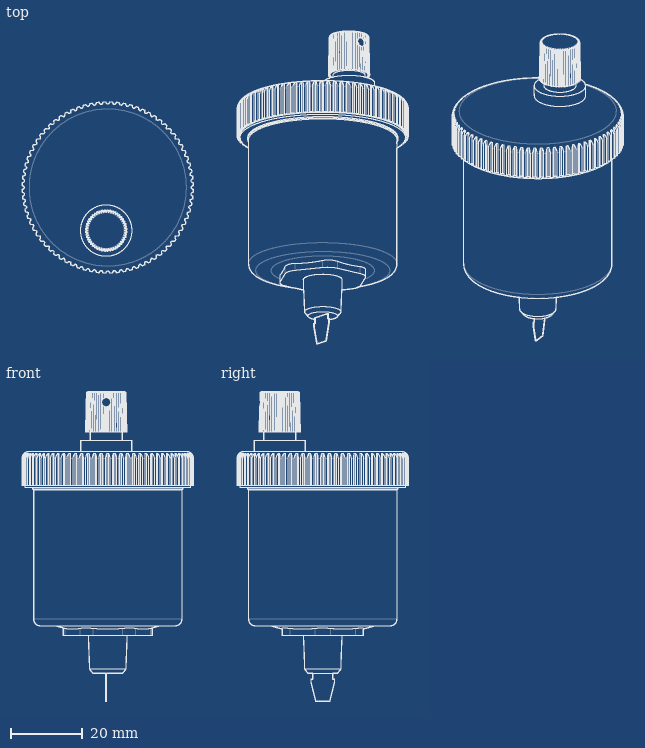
import cadquery as cq
import math

total_height = 86.4
stem_bottom = 7.8
nut_bottom = 18.3
flare_bottom = 20.1
body_bottom = 21.0
lid_bottom = 59.6
lid_top = 69.7
seat_top = 72.8
cap_bottom = 75.1

body_radius = 20.7
body_bottom_fillet = 2.0
collar_radius = 21.0
collar_height = 0.6
collar_chamfer = 0.25

lid_radius = 23.9
lid_top_fillet = 2.0
lid_base_radius = 23.15
lid_base_height = 0.6
rim_groove_count = 80
rim_groove_depth = 0.6
rim_groove_mouth_width = 1.2
rim_groove_floor_width = 0.4

nut_across_flats = 22.7
nut_corner_fillet = 4.3
flare_top_radius = 14.4
flare_bottom_radius = nut_across_flats / 2
stem_top_radius = 5.4
stem_bottom_radius = 5.1
stem_chamfer_height = 1.2
stem_chamfer_width = 0.95

blade_thickness = 0.3
blade_neck_half_width = 2.85
blade_shoulder_half_width = 3.3
blade_tip_half_width = 2.0
blade_shoulder_top = 6.2
blade_shoulder_bottom = 5.2
blade_embed = 0.9

axis_offset_x = -0.4
valve_y = -12.0
seat_radius = 7.2
neck_radius = 4.5
cap_bottom_radius = 5.8
cap_top_radius = 5.5
cap_top_fillet = 0.5
cap_groove_count = 48
cap_groove_depth = 0.4
cap_groove_half_width = 0.3
dimple_height = 83.5
dimple_radius = 1.3
dimple_depth = 0.4


def cylinder(radius, bottom, top):
    return cq.Workplane("XY").workplane(offset=bottom).circle(radius).extrude(top - bottom)


def revolved(points):
    """Solid of revolution about Z from (radius, height) points."""
    return cq.Workplane("XZ").polyline(points).close().revolve(360, (0, 0), (0, 1))


def polar_copies(shape, count):
    """Compound of copies of a shape spread evenly around Z."""
    step = 360 / count
    return cq.Compound.makeCompound(
        [shape.rotate(cq.Vector(0, 0, 0), cq.Vector(0, 0, 1), i * step) for i in range(count)]
    )


def make_chamber():
    shell = cylinder(body_radius, body_bottom, lid_bottom)
    shell = shell.faces("<Z").edges().fillet(body_bottom_fillet)
    collar = cylinder(collar_radius, lid_bottom - collar_height, lid_bottom)
    collar = collar.faces("<Z").edges().chamfer(collar_chamfer)
    return shell.union(collar)


def make_lid():
    base = cylinder(lid_base_radius, lid_bottom, lid_bottom + lid_base_height)
    rim = cylinder(lid_radius, lid_bottom + lid_base_height, lid_top)
    rim = rim.faces(">Z").edges().fillet(lid_top_fillet)

    depth = rim_groove_depth
    floor_half = rim_groove_floor_width / 2
    outer_half = rim_groove_mouth_width - floor_half
    groove = (
        cq.Workplane("XY")
        .workplane(offset=lid_bottom)
        .polyline([
            (lid_radius - depth, -floor_half),
            (lid_radius + depth, -outer_half),
            (lid_radius + depth, outer_half),
            (lid_radius - depth, floor_half),
        ])
        .close()
        .extrude(lid_top - lid_bottom)
    )
    return rim.cut(cq.Workplane(polar_copies(groove.val(), rim_groove_count))).union(base)


def make_connection():
    nut = (
        cq.Workplane("XY")
        .workplane(offset=nut_bottom)
        .polygon(6, nut_across_flats / math.cos(math.pi / 6))
        .extrude(body_bottom - nut_bottom)
        .edges("|Z")
        .fillet(nut_corner_fillet)
    )
    flare = revolved([
        (0, flare_bottom),
        (flare_bottom_radius, flare_bottom),
        (flare_top_radius, body_bottom),
        (0, body_bottom),
    ])
    stem = revolved([
        (0, stem_bottom),
        (stem_bottom_radius - stem_chamfer_width, stem_bottom),
        (stem_bottom_radius, stem_bottom + stem_chamfer_height),
        (stem_top_radius, nut_bottom),
        (0, nut_bottom),
    ])
    return nut.union(flare).union(stem)


def make_blade():
    half_outline = [
        (blade_tip_half_width, 0),
        (blade_shoulder_half_width, blade_shoulder_bottom),
        (blade_shoulder_half_width, blade_shoulder_top),
        (blade_neck_half_width, blade_shoulder_top),
        (blade_neck_half_width, stem_bottom + blade_embed),
    ]
    mirrored = [(-y, z) for y, z in reversed(half_outline)]
    return (
        cq.Workplane("YZ", origin=(axis_offset_x, 0, 0))
        .polyline(half_outline + mirrored)
        .close()
        .extrude(blade_thickness / 2, both=True)
    )


def make_cap():
    """Ribbed tapered cap, built around the Z axis."""
    height = total_height - cap_bottom
    cap = revolved([
        (0, cap_bottom),
        (cap_bottom_radius, cap_bottom),
        (cap_top_radius, total_height),
        (0, total_height),
    ])
    cap = cap.faces(">Z").edges().fillet(cap_top_fillet)

    taper = math.degrees(math.atan2(cap_bottom_radius - cap_top_radius, height))
    groove = (
        cq.Workplane("XY")
        .workplane(offset=cap_bottom)
        .polyline([
            (cap_bottom_radius - cap_groove_depth, 0),
            (cap_bottom_radius, cap_groove_half_width),
            (cap_bottom_radius + cap_groove_depth, cap_groove_half_width),
            (cap_bottom_radius + cap_groove_depth, -cap_groove_half_width),
            (cap_bottom_radius, -cap_groove_half_width),
        ])
        .close()
        .extrude(2 * height, both=True)
        .rotate((cap_bottom_radius, 0, cap_bottom), (cap_bottom_radius, 1, cap_bottom), -taper)
    )
    cap = cap.cut(cq.Workplane(polar_copies(groove.val(), cap_groove_count)))

    dimple = (
        cq.Workplane("XZ", origin=(0, dimple_depth - cap_top_radius, dimple_height))
        .circle(dimple_radius)
        .extrude(cap_bottom_radius)
    )
    return cap.cut(dimple)


def make_valve():
    seat = cylinder(seat_radius, lid_top, seat_top)
    neck = cylinder(neck_radius, seat_top, cap_bottom)
    return seat.union(neck).union(make_cap()).translate((axis_offset_x, valve_y, 0))


result = make_chamber().union(make_lid()).union(make_connection()).union(make_blade()).union(make_valve())